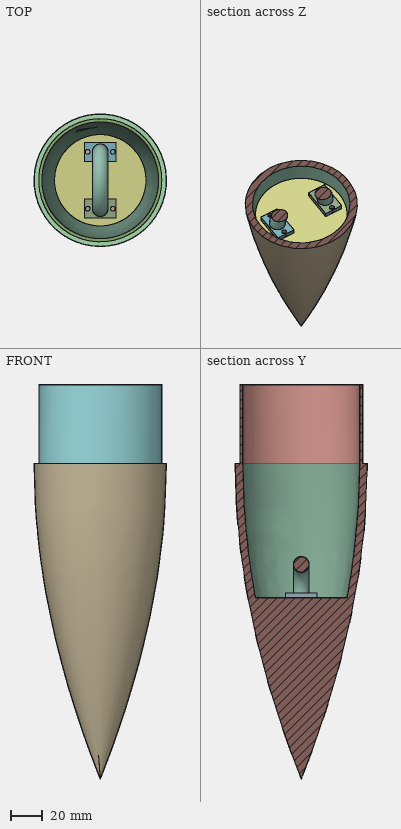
import cadquery as cq
import math

base_radius = 42.0
nose_length = 200.0
side_curve_depth = 95.0
nose_wall = 5.0

tube_length = 50.0
tube_wall = 2.0
tube_inner_radius = base_radius - nose_wall
tube_outer_radius = tube_inner_radius + tube_wall

bulkhead_depth = 85.0

handle_thickness = 10.0
handle_ring_radius = 18.0
foot_length = 20.0
foot_width = 12.0
foot_thickness = 3.0
screw_hole_diameter = 3.0
screw_hole_offset = 8.0


def side_curve_parameter(depth):
    """Parameter (0 at the base, 1 at the tip) of the side curve at a given depth."""
    bend = nose_length - 2 * side_curve_depth
    root = math.sqrt(side_curve_depth**2 + bend * depth)
    return depth / (side_curve_depth + root)


def revolved_below_base(top_radius, end_parameter):
    """Solid of revolution under the nose side curve, from the base to a parameter.

    The side is a quadratic Bezier curve that leaves the base vertically.
    """
    t = end_parameter
    end_radius = top_radius - base_radius * t**2
    end_depth = 2 * side_curve_depth * t * (1 - t) + nose_length * t**2
    profile = (
        cq.Workplane("YZ")
        .lineTo(-top_radius, 0)
        .bezier(
            [
                (-top_radius, 0),
                (-top_radius, -side_curve_depth * t),
                (-end_radius, -end_depth),
            ]
        )
    )
    if end_radius > 0:
        profile = profile.lineTo(0, -end_depth)
    return profile.close().revolve(360, (0, 0), (0, 1))


def make_nose():
    outside = revolved_below_base(base_radius, 1.0)
    cavity = revolved_below_base(tube_inner_radius, side_curve_parameter(bulkhead_depth))
    return outside.cut(cavity)


def make_tube():
    return (
        cq.Workplane("XY")
        .circle(tube_outer_radius)
        .circle(tube_inner_radius)
        .extrude(tube_length)
    )


def make_foot(side):
    """Foot plate at one end of the handle (side is -1 or 1 along Y)."""
    return (
        cq.Workplane("XY", origin=(0, side * handle_ring_radius, -bulkhead_depth))
        .rect(foot_length, foot_width)
        .extrude(foot_thickness)
        .faces(">Z")
        .workplane()
        .pushPoints([(-screw_hole_offset, 0), (screw_hole_offset, 0)])
        .hole(screw_hole_diameter)
    )


def make_handle():
    foot_top = foot_thickness - bulkhead_depth
    return (
        cq.Workplane("XY", origin=(0, -handle_ring_radius, foot_top))
        .circle(handle_thickness / 2)
        .revolve(180, (0, handle_ring_radius), (-1, handle_ring_radius))
    )


result = make_nose().union(make_tube())
for side in (-1, 1):
    result = result.union(make_foot(side))
result = result.union(make_handle())